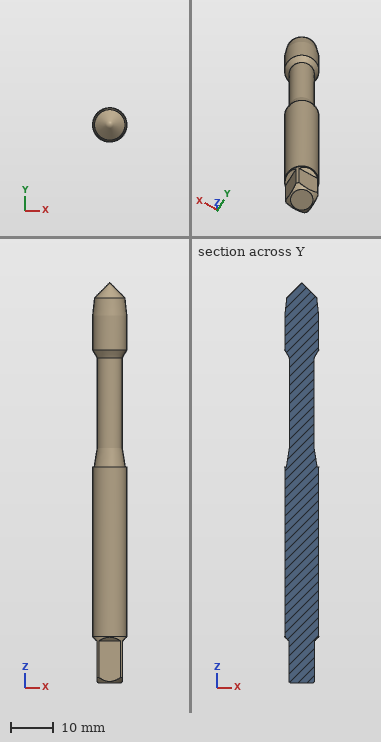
import cadquery as cq

total_length = 93.5
shank_radius = 8.0 / 2

head_radius = shank_radius
point_radius = 3.55
point_length = point_radius
lead_length = 4.2
head_length = 7.9

neck_radius = 5.9 / 2
relief_radius = 3.2
relief_height = 1.4
relief_foot = 0.5
neck_bottom_z = 54.9
taper_end_radius = 3.6

shank_top_z = 50.5
shank_bottom_z = 10.8
drive_corner_radius = 7.8 / 2
drive_half_width = 6.0 / 2
drive_flat_height = 9.8
end_radius = 2.6
end_chamfer_height = drive_corner_radius - end_radius

point_base_z = total_length - point_length
lead_base_z = point_base_z - lead_length
head_bottom_z = lead_base_z - head_length
relief_bottom_z = head_bottom_z - relief_height
neck_top_z = relief_bottom_z - relief_foot


def turned_body():
    """Revolve the half outline of the whole tool about Z."""
    outline = [
        (0, 0),
        (end_radius, 0),
        (drive_corner_radius, end_chamfer_height),
        (drive_corner_radius, shank_bottom_z),
        (shank_radius, shank_bottom_z),
        (shank_radius, shank_top_z),
        (taper_end_radius, shank_top_z),
        (neck_radius, neck_bottom_z),
        (neck_radius, neck_top_z),
        (relief_radius, relief_bottom_z),
        (head_radius, head_bottom_z),
        (head_radius, lead_base_z),
        (point_radius, point_base_z),
        (0, total_length),
    ]
    return cq.Workplane("XZ").polyline(outline).close().revolve(360, (0, 0), (0, 1))


def flat_cutter():
    """Cutter for one drive flat, with a 45 degree runout at its top."""
    outer = 2 * shank_radius
    runout_top = drive_flat_height + shank_radius - drive_half_width
    section = [
        (drive_half_width, 0),
        (outer, 0),
        (outer, runout_top),
        (shank_radius, runout_top),
        (drive_half_width, drive_flat_height),
    ]
    return cq.Workplane("XZ").polyline(section).close().extrude(shank_radius, both=True)


result = turned_body()
for quarter_turn in range(4):
    result = result.cut(flat_cutter().rotate((0, 0, 0), (0, 0, 1), 90 * quarter_turn))